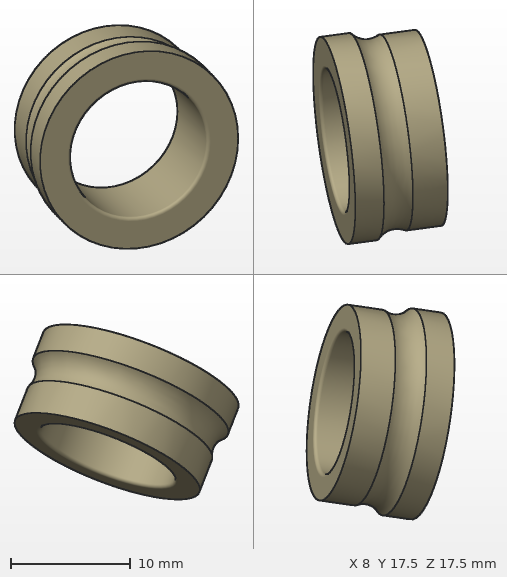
import cadquery as cq
import math

length = 8.0
rim_radius = 8.75
sleeve_radius = 8.28
bore_radius = 6.0
bore_edge_radius = 0.3

groove_x = 3.97
groove_floor_radius = 8.03
groove_arc_radius = 2.1
groove_center_radius = groove_floor_radius + groove_arc_radius


def groove_half_width(radius):
    """Axial distance from the groove's lowest point to its arc at a given radius."""
    return math.sqrt(groove_arc_radius**2 - (groove_center_radius - radius)**2)


groove_start_x = groove_x - groove_half_width(sleeve_radius)
groove_end_x = groove_x + groove_half_width(rim_radius)

section = (
    cq.Workplane("XY")
    .moveTo(0, bore_radius)
    .lineTo(0, sleeve_radius)
    .lineTo(groove_start_x, sleeve_radius)
    .threePointArc((groove_x, groove_floor_radius), (groove_end_x, rim_radius))
    .lineTo(length, rim_radius)
    .lineTo(length, bore_radius)
    .close()
)
ring = section.revolve(360, (0, 0, 0), (1, 0, 0))

bore_edges = ring.faces("<X or >X").edges(cq.selectors.RadiusNthSelector(0))
result = bore_edges.fillet(bore_edge_radius)